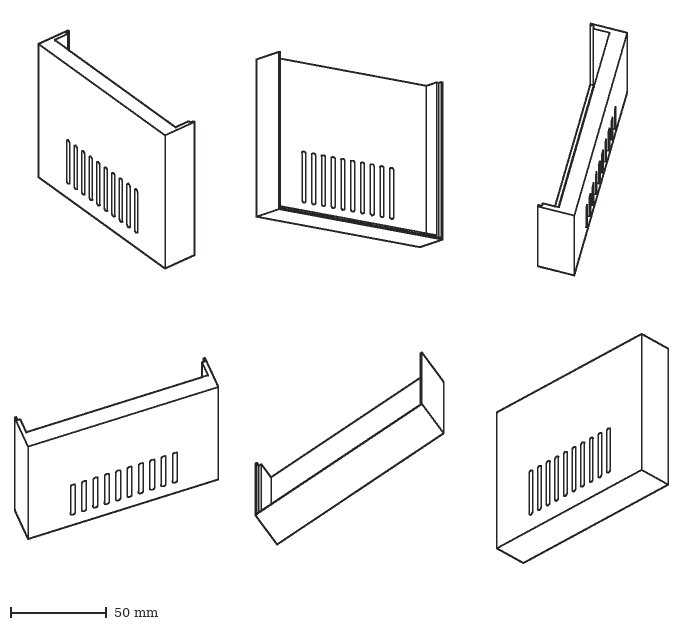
import cadquery as cq

WIDTH = 106.7
DEPTH = 19.8
HEIGHT = 85.1

SIDE_WALL = 2.5
BOTTOM_WALL = SIDE_WALL
FRONT_WALL = 9.0

REBATE_DEPTH = 2.0
REBATE_LIP = 1.0
REBATE_LEDGE_DROP = 0.1

SLOT_COUNT = 10
SLOT_ROW_SPAN = 57.2
SLOT_ROW_OFFSET = 0.36
SLOT_WIDTH = 2.6
SLOT_LENGTH = 27.6
SLOT_BOTTOM = 9.6


def outer_block():
    """Solid block, centred on X, with its front face at Y = 0 and its base at Z = 0."""
    return cq.Workplane("XY").box(WIDTH, DEPTH, HEIGHT, centered=(True, False, False))


def back_recess(front_y, side_wall, ledge_height, ledge_drop=0):
    """Recess from front_y to the back face, open at the top, with a ledge that may slope."""
    profile = [
        (front_y, HEIGHT),
        (front_y, ledge_height),
        (DEPTH, ledge_height - ledge_drop),
        (DEPTH, HEIGHT),
    ]
    half_width = WIDTH / 2 - side_wall
    return cq.Workplane("YZ").polyline(profile).close().extrude(half_width, both=True)


def vent_slots():
    """Round-ended slots running front to back."""
    pitch = SLOT_ROW_SPAN / (SLOT_COUNT - 1)
    first_x = SLOT_ROW_OFFSET - SLOT_ROW_SPAN / 2
    middle_z = SLOT_BOTTOM + SLOT_LENGTH / 2
    centres = [(first_x + i * pitch, middle_z) for i in range(SLOT_COUNT)]
    return (
        cq.Workplane("XZ")
        .pushPoints(centres)
        .slot2D(SLOT_LENGTH, SLOT_WIDTH, angle=90)
        .extrude(-FRONT_WALL)
    )


pocket = back_recess(FRONT_WALL, SIDE_WALL, BOTTOM_WALL)
rebate = back_recess(DEPTH - REBATE_DEPTH, REBATE_LIP, REBATE_LIP, REBATE_LEDGE_DROP)

result = outer_block().cut(pocket).cut(rebate).cut(vent_slots())